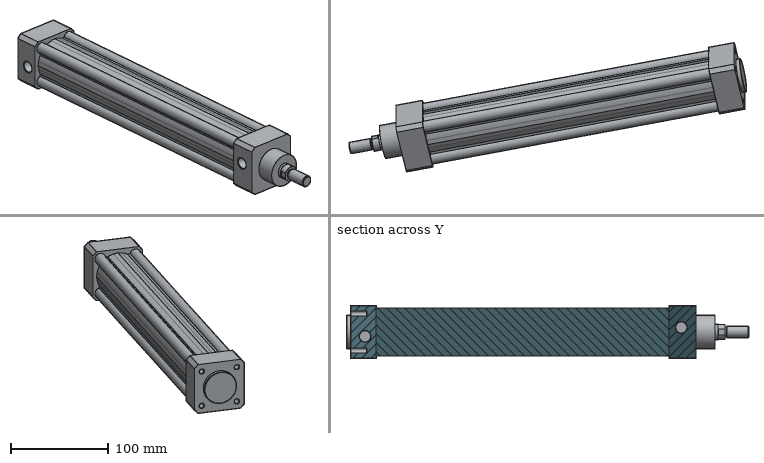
import cadquery as cq
import math

LENGTH = 413.0
REAR_CAP_START = 4.0
REAR_CAP_END = 30.5
FRONT_CAP_START = 331.2
FRONT_CAP_END = 359.0
NOSE_END = 378.5
COLLAR_END = 381.0
FLAT_START = 382.0
SHOULDER = 388.5
THREAD_START = 390.0

CAP_SIDE = 54.0
CAP_CHAMFER = 4.0
SPIGOT_DIAMETER = 34.5
SPIGOT_CHAMFER = 0.5
SCREW_OFFSET = 19.0
SCREW_HOLE_DIAMETER = 5.0
SCREW_HOLE_CHAMFER = 0.5
SCREW_HOLE_DEPTH = 16.5
PORT_DIAMETER = 11.5
PORT_CHAMFER = 0.6
PORT_DEPTH = 10.5
PORT_SHIFT = 4.5
REAR_PORT_X = 19.0
FRONT_PORT_X = 343.5

TUBE_RADIUS = 22.7
TUBE_HALF_WIDTH = 10.7
RIDGE_HALF_WIDTH = 4.5
WEB_HEIGHT = 20.2
LOBE_RADIUS = 5.8

COLLAR_DIAMETER = 16.0
ROD_DIAMETER = 15.5
FLAT_SPACING = 14.5
THREAD_DIAMETER = 12.0
THREAD_CHAMFER = 1.0


def cylinder(start, end, diameter):
    """Round bar on the X axis between two positions."""
    return cq.Workplane("YZ").workplane(offset=start).circle(diameter / 2).extrude(end - start)


def cap_block(start, end):
    block = cq.Workplane("YZ").workplane(offset=start).rect(CAP_SIDE, CAP_SIDE).extrude(end - start)
    return block.edges("|X").chamfer(CAP_CHAMFER)


def chamfered_hole(centre, diameter, depth, chamfer):
    """Blind hole with a chamfered rim, sunk from a workplane's origin against its normal."""
    bore = centre.circle(diameter / 2).extrude(-depth)
    rim = centre.circle(diameter / 2 + chamfer).extrude(-chamfer, taper=45)
    return bore.union(rim)


def port(x, z):
    """Air port in the -Y face of a cap."""
    centre = cq.Workplane("XZ", origin=(x, -CAP_SIDE / 2, z))
    return chamfered_hole(centre, PORT_DIAMETER, PORT_DEPTH, PORT_CHAMFER)


def screw_hole(y, z):
    """Screw hole in the rear face of the rear cap."""
    centre = cq.Workplane("ZY", origin=(REAR_CAP_START, y, z))
    return chamfered_hole(centre, SCREW_HOLE_DIAMETER, SCREW_HOLE_DEPTH, SCREW_HOLE_CHAMFER)


def make_rear_cap():
    cap = cap_block(REAR_CAP_START, REAR_CAP_END)
    spigot = cylinder(0, REAR_CAP_START, SPIGOT_DIAMETER).faces("<X").chamfer(SPIGOT_CHAMFER)
    cap = cap.union(spigot)
    for y in (-SCREW_OFFSET, SCREW_OFFSET):
        for z in (-SCREW_OFFSET, SCREW_OFFSET):
            cap = cap.cut(screw_hole(y, z))
    return cap.cut(port(REAR_PORT_X, -PORT_SHIFT))


def on_tube(angle):
    """Point on the tube circle, at an angle from +Z towards -Y."""
    return -TUBE_RADIUS * math.sin(angle), TUBE_RADIUS * math.cos(angle)


def mirrored(point):
    """Mirror image of a profile point across the diagonal through the -Y, +Z corner."""
    return -point[1], -point[0]


def turned(point, quarters):
    """Profile point turned about the axis by a number of quarter turns."""
    y, z = point
    for _ in range(quarters):
        y, z = -z, y
    return y, z


def make_barrel():
    ridge_angle = math.asin(RIDGE_HALF_WIDTH / TUBE_RADIUS)
    tube_angle = math.asin(TUBE_HALF_WIDTH / TUBE_RADIUS)
    lobe_reach = math.sqrt(LOBE_RADIUS**2 - (WEB_HEIGHT - SCREW_OFFSET) ** 2)
    lobe_corner = SCREW_OFFSET + LOBE_RADIUS * math.sqrt(0.5)

    ridge = (0, TUBE_RADIUS / math.cos(ridge_angle))
    ridge_edge = on_tube(ridge_angle)
    tube_middle = on_tube((ridge_angle + tube_angle) / 2)
    tube_edge = on_tube(tube_angle)
    lobe_start = (-(SCREW_OFFSET - lobe_reach), WEB_HEIGHT)
    lobe_tip = (-lobe_corner, lobe_corner)

    outline = cq.Workplane("YZ").workplane(offset=REAR_CAP_END).moveTo(*ridge)
    for quarter in range(4):
        outline = (
            outline.lineTo(*turned(ridge_edge, quarter))
            .threePointArc(turned(tube_middle, quarter), turned(tube_edge, quarter))
            .lineTo(*turned(lobe_start, quarter))
            .threePointArc(turned(lobe_tip, quarter), turned(mirrored(lobe_start), quarter))
            .lineTo(*turned(mirrored(tube_edge), quarter))
            .threePointArc(
                turned(mirrored(tube_middle), quarter),
                turned(mirrored(ridge_edge), quarter),
            )
            .lineTo(*turned(mirrored(ridge), quarter))
        )
    return outline.close().extrude(FRONT_CAP_START - REAR_CAP_END)


def make_front_cap():
    cap = cap_block(FRONT_CAP_START, FRONT_CAP_END)
    nose = cylinder(FRONT_CAP_END, NOSE_END, SPIGOT_DIAMETER)
    rod_bore = cylinder(FRONT_CAP_START, NOSE_END, COLLAR_DIAMETER)
    return cap.union(nose).cut(rod_bore).cut(port(FRONT_PORT_X, PORT_SHIFT))


def wrench_flat(side):
    """Block that cuts one wrench flat, on the -Y (-1) or +Y (1) side of the rod."""
    block = cq.Workplane("XY").box(SHOULDER - FLAT_START, ROD_DIAMETER, ROD_DIAMETER)
    middle_x = (FLAT_START + SHOULDER) / 2
    middle_y = side * (FLAT_SPACING + ROD_DIAMETER) / 2
    return block.translate((middle_x, middle_y, 0))


def make_rod():
    collar = cylinder(FRONT_CAP_START, COLLAR_END, COLLAR_DIAMETER)
    rod = collar.union(cylinder(COLLAR_END, SHOULDER, ROD_DIAMETER))
    for side in (-1, 1):
        rod = rod.cut(wrench_flat(side))
    relief = cylinder(SHOULDER, THREAD_START, THREAD_DIAMETER - 2 * THREAD_CHAMFER)
    thread = cylinder(THREAD_START, LENGTH, THREAD_DIAMETER)
    thread = thread.faces("<X or >X").chamfer(THREAD_CHAMFER)
    return rod.union(relief).union(thread)


rear_cap = make_rear_cap()
barrel = make_barrel()
front_cap = make_front_cap()
rod = make_rod()

bodies = [rear_cap, barrel, front_cap, rod]
result = cq.Compound.makeCompound([body.solids().val() for body in bodies])